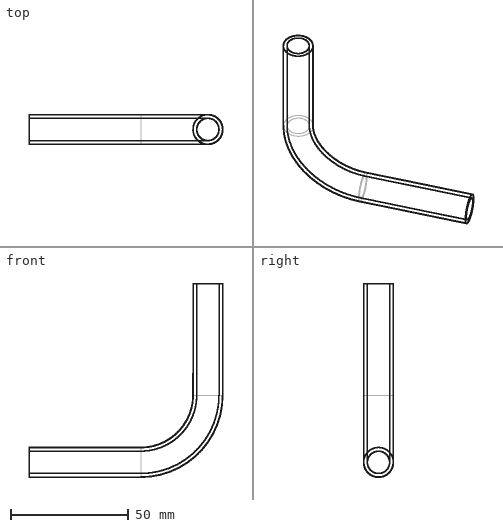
import cadquery as cq

overall_length = 82.55
outer_diameter = 12.7
inner_diameter = 9.5
straight_length = 47.55

outer_radius = outer_diameter / 2
bend_radius = overall_length - straight_length - outer_radius


def tube(diameter):
    """Solid round bar: a leg along X, a quarter bend, then a leg along Z."""
    horizontal_leg = cq.Workplane("YZ").circle(diameter / 2).extrude(straight_length)
    bend = (
        cq.Workplane("YZ", origin=(straight_length, 0, 0))
        .circle(diameter / 2)
        .revolve(90, (0, bend_radius), (-1, bend_radius))
    )
    vertical_leg = (
        cq.Workplane("XY", origin=(straight_length + bend_radius, 0, bend_radius))
        .circle(diameter / 2)
        .extrude(straight_length)
    )
    return horizontal_leg.union(bend).union(vertical_leg)


result = tube(outer_diameter).cut(tube(inner_diameter))